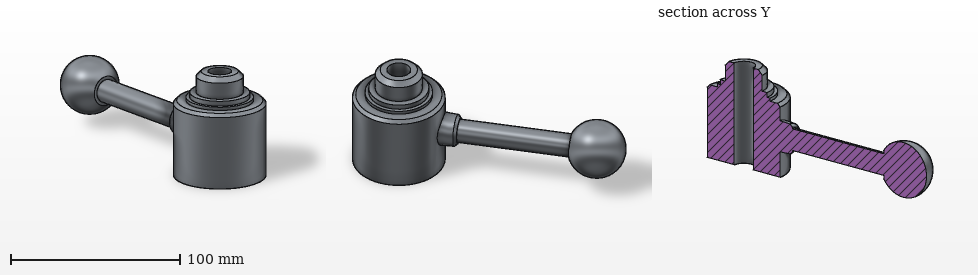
import cadquery as cq
import math

body_diameter = 55.0
body_height = 46.5
body_chamfer = 2.0
lower_ring_diameter = 40.0
lower_ring_height = 2.0
upper_ring_diameter = 35.6
upper_ring_height = 3.0
spigot_diameter = 28.0
spigot_height = 13.0
spigot_chamfer = 3.0
bore_diameter = 14.0

lever_height = 26.0
rod_diameter = 14.0
collar_reach = 36.7
collar_chamfer = 1.8
collar_tip_diameter = 19.2
collar_taper_angle = 3.0
collar_root_reach = 20.0

ball_diameter = 35.0
ball_center_reach = 120.0
ball_seat_reach = 105.0

total_height = body_height + lower_ring_height + upper_ring_height + spigot_height


def add_disc(stack, diameter, height):
    """Put a coaxial disc on the top face of the stack."""
    return stack.faces(">Z").workplane().circle(diameter / 2).extrude(height)


def make_hub():
    hub = cq.Workplane("XY").circle(body_diameter / 2).extrude(body_height)
    hub = hub.faces(">Z").chamfer(body_chamfer)
    hub = add_disc(hub, lower_ring_diameter, lower_ring_height)
    hub = add_disc(hub, upper_ring_diameter, upper_ring_height)
    hub = add_disc(hub, spigot_diameter, spigot_height)
    return hub.faces(">Z").chamfer(spigot_chamfer)


def make_lever():
    """Ball, rod and tapered collar turned as one profile about the lever axis."""
    ball_radius = ball_diameter / 2
    rod_radius = rod_diameter / 2
    seat_radius = math.sqrt(ball_radius**2 - (ball_center_reach - ball_seat_reach) ** 2)

    tip_radius = collar_tip_diameter / 2
    shoulder_reach = collar_reach - collar_chamfer
    taper_length = shoulder_reach - collar_root_reach
    root_radius = tip_radius + taper_length * math.tan(math.radians(collar_taper_angle))

    lever = (
        cq.Workplane("XZ")
        .moveTo(-ball_center_reach - ball_radius, 0)
        .threePointArc((-ball_center_reach, ball_radius), (-ball_seat_reach, seat_radius))
        .lineTo(-ball_seat_reach, rod_radius)
        .lineTo(-collar_reach, rod_radius)
        .lineTo(-collar_reach, tip_radius - collar_chamfer)
        .lineTo(-shoulder_reach, tip_radius)
        .lineTo(-collar_root_reach, root_radius)
        .lineTo(-collar_root_reach, 0)
        .close()
        .revolve(360, (0, 0, 0), (1, 0, 0))
    )
    return lever.translate((0, 0, lever_height))


def make_bore():
    return cq.Workplane("XY").circle(bore_diameter / 2).extrude(total_height)


result = make_hub().union(make_lever()).cut(make_bore())